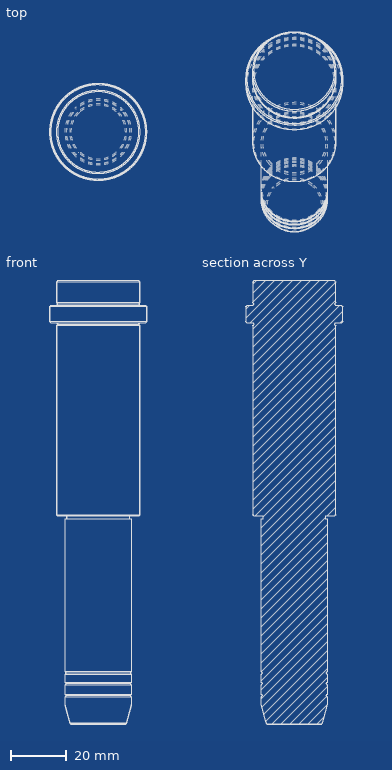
import cadquery as cq
import math

length = 160.0
flange_diameter = 35.0
body_diameter = 30.0
shank_diameter = 24.0

flange_top = 151.0
flange_bottom = 144.6
body_bottom = 75.0
nose_top = 7.0
groove_centers = (18.5, 14.7, 10.4)

chamfer = 0.5
top_chamfer_height = 0.6
top_chamfer_inset = 0.5
relief_width = 1.0
relief_depth = 0.6
groove_width = 1.0
groove_depth = 0.5

nose_angle = 15


def cylinder(diameter, bottom, top):
    """Solid cylinder on the Z axis between two heights."""
    return cq.Workplane("XY").workplane(offset=bottom).circle(diameter / 2).extrude(top - bottom)


def groove_cutter(diameter, center):
    """Ring with a V section that cuts a groove into a cylinder of the given diameter."""
    radius = diameter / 2
    half_width = groove_width / 2
    return (
        cq.Workplane("XZ")
        .moveTo(radius - groove_depth, center)
        .lineTo(radius, center + half_width)
        .lineTo(radius + groove_depth, center + half_width)
        .lineTo(radius + groove_depth, center - half_width)
        .lineTo(radius, center - half_width)
        .close()
        .revolve(360, (0, 0, 0), (0, 1, 0))
    )


def make_shank():
    """Lower shank with a relief under the body and a conical nose above the end chamfer."""
    radius = shank_diameter / 2
    nose_end = radius - (nose_top - chamfer) * math.tan(math.radians(nose_angle))
    return (
        cq.Workplane("XZ")
        .moveTo(0, 0)
        .lineTo(nose_end - chamfer, 0)
        .lineTo(nose_end, chamfer)
        .lineTo(radius, nose_top)
        .lineTo(radius, body_bottom - relief_width)
        .lineTo(radius - relief_depth, body_bottom - relief_width)
        .lineTo(radius - relief_depth, body_bottom)
        .lineTo(0, body_bottom)
        .close()
        .revolve(360, (0, 0, 0), (0, 1, 0))
    )


def make_body():
    """Upper body with both end edges chamfered."""
    body = cylinder(body_diameter, body_bottom, length)
    body = body.faces(">Z").edges().chamfer(top_chamfer_height, top_chamfer_inset)
    return body.faces("<Z").edges().chamfer(chamfer)


def make_flange():
    """Collar disc with both rims chamfered."""
    return cylinder(flange_diameter, flange_bottom, flange_top).edges("%CIRCLE").chamfer(chamfer)


shank = make_shank()
for center in groove_centers:
    shank = shank.cut(groove_cutter(shank_diameter, center))

body = make_body()
for center in (flange_top + groove_width / 2, flange_bottom - groove_width / 2):
    body = body.cut(groove_cutter(body_diameter, center))

result = shank.union(body).union(make_flange())